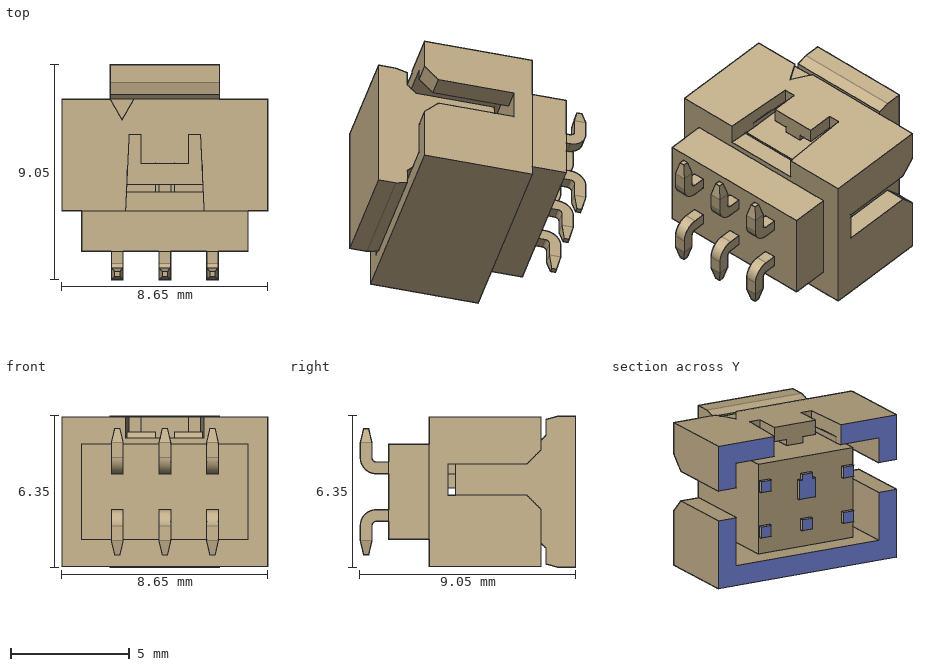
import cadquery as cq


shell_width = 8.65
shell_length = 4.7
shell_height = 6.3
side_wall = 0.875
roof_thickness = 0.9
floor_thickness = 0.8
cavity_width = shell_width - 2 * side_wall
cavity_height = shell_height - 2 * roof_thickness
shell_top = shell_height / 2
roof_underside = cavity_height / 2

base_width = 7.0
base_length = 1.7
base_height = 4.0

slot_bottom = -0.14
slot_height = 1.3
slot_flare = 0.6

window_length = 3.2
window_front_width = 3.3
window_back_width = 3.0
tongue_width = 2.0
tongue_front = 2.0
rib_width = 0.8

groove_width = 3.18
groove_depth = 0.27
groove_front = floor_thickness
groove_overrun = 0.3
groove_back = window_length + groove_overrun
stop_run = 0.07

plug_width = 4.6
plug_height = 3.96
plug_front = 1.1
head_length = 1.45
head_height = 6.35
head_flat_length = 0.75
head_rim_height = 6.08
neck_length = 0.2
neck_height = 4.74
neck_flare = (neck_height - plug_height) / 2

mark_left = -plug_width / 2
mark_width = 1.0
mark_length = 0.87
mark_depth = 0.1

stop_width = 0.8
stop_bottom = 0.15

pin_size = 0.5
pin_pitch = 2.0
pins_per_row = 3
pin_row_height = 1.0
pin_reach = 1.2
pin_outer_radius = 0.68
pin_inner_radius = pin_outer_radius - pin_size
pin_tip_start = 2.06
pin_tip_end = 2.65
pin_tip_size = 0.22


def block(width, y_range, z_range):
    """Box centred on X = 0 that spans the given Y and Z ranges."""
    length = y_range[1] - y_range[0]
    height = z_range[1] - z_range[0]
    box = cq.Workplane("XY").box(width, length, height, centered=(True, False, False))
    return box.translate((0, y_range[0], z_range[0]))


def side_profile(points, width):
    """Closed (Y, Z) outline extruded symmetrically about X = 0."""
    return cq.Workplane("YZ").polyline(points).close().extrude(width / 2, both=True)


def make_shell():
    shell = block(shell_width, (0, shell_length), (-shell_top, shell_top))
    cavity_y = (floor_thickness, shell_length)
    shell = shell.cut(block(cavity_width, cavity_y, (-roof_underside, roof_underside)))
    shell = shell.cut(side_slot()).cut(roof_window()).cut(roof_groove()).cut(pin_one_mark())
    base = block(base_width, (-base_length, 0), (-base_height / 2, base_height / 2))
    return shell.union(base)


def side_slot():
    slot_top = slot_bottom + slot_height
    flare_start = shell_length - slot_flare
    points = [
        (floor_thickness, slot_bottom),
        (flare_start, slot_bottom),
        (shell_length, slot_bottom - slot_flare),
        (shell_length, slot_top + slot_flare),
        (flare_start, slot_top),
        (floor_thickness, slot_top),
    ]
    return side_profile(points, shell_width)


def roof_window():
    points = [
        (-window_front_width / 2, 0),
        (window_front_width / 2, 0),
        (window_back_width / 2, window_length),
        (-window_back_width / 2, window_length),
    ]
    window_plane = cq.Workplane("XY").workplane(offset=roof_underside)
    window = window_plane.polyline(points).close().extrude(roof_thickness)
    tongue = block(tongue_width, (tongue_front, window_length), (roof_underside, shell_top))
    return window.cut(tongue)


def roof_groove():
    """Groove on both sides of the rib under the tongue."""
    groove_top = roof_underside + groove_depth
    points = [
        (groove_front, roof_underside),
        (groove_back, roof_underside),
        (groove_back + stop_run, groove_top),
        (groove_front, groove_top),
    ]
    rib = block(rib_width, (tongue_front, shell_length), (roof_underside, groove_top))
    return side_profile(points, groove_width).cut(rib)


def pin_one_mark():
    points = [
        (mark_left, shell_length),
        (mark_left + mark_width, shell_length),
        (mark_left + mark_width / 2, shell_length - mark_length),
    ]
    mark_plane = cq.Workplane("XY").workplane(offset=shell_top - mark_depth)
    return mark_plane.polyline(points).close().extrude(mark_depth)


def make_plug():
    body = block(plug_width, (plug_front, shell_length), (-plug_height / 2, plug_height / 2))
    return body.union(make_head())


def make_head():
    head_back = shell_length + head_length
    rim_front = shell_length + neck_length
    upper = [
        (head_back, head_height / 2),
        (head_back - head_flat_length, head_height / 2),
        (rim_front, head_rim_height / 2),
        (rim_front, neck_height / 2),
        (rim_front - neck_flare, plug_height / 2),
    ]
    lower = [(y, -z) for y, z in reversed(upper)]
    return side_profile(upper + lower, plug_width)


def make_pin():
    """Pin of the upper row: out of the plug, bent up and ending in a tapered tip."""
    low = pin_row_height - pin_size / 2
    high = pin_row_height + pin_size / 2
    outer_y = -base_length - pin_reach
    inner_y = outer_y + pin_size
    bend_y = outer_y + pin_outer_radius
    bend_z = low + pin_outer_radius
    shank = (
        cq.Workplane("YZ")
        .moveTo(plug_front, low)
        .lineTo(bend_y, low)
        .radiusArc((outer_y, bend_z), pin_outer_radius)
        .lineTo(outer_y, pin_tip_start)
        .lineTo(inner_y, pin_tip_start)
        .lineTo(inner_y, bend_z)
        .radiusArc((bend_y, high), -pin_inner_radius)
        .lineTo(plug_front, high)
        .close()
        .extrude(pin_size / 2, both=True)
    )
    tip = (
        cq.Workplane("XY", origin=(0, outer_y + pin_size / 2, pin_tip_start))
        .rect(pin_size, pin_size)
        .workplane(offset=pin_tip_end - pin_tip_start)
        .rect(pin_tip_size, pin_tip_size)
        .loft(combine=True)
    )
    return shank.union(tip)


def add_pins(part):
    upper_pin = make_pin()
    lower_pin = upper_pin.mirror("XY")
    for index in range(pins_per_row):
        x = (index - (pins_per_row - 1) / 2) * pin_pitch
        part = part.union(upper_pin.translate((x, 0, 0)))
        part = part.union(lower_pin.translate((x, 0, 0)))
    return part


plug_stop = block(stop_width, (floor_thickness, plug_front), (stop_bottom, pin_row_height))
result = add_pins(make_shell().union(make_plug()).union(plug_stop))